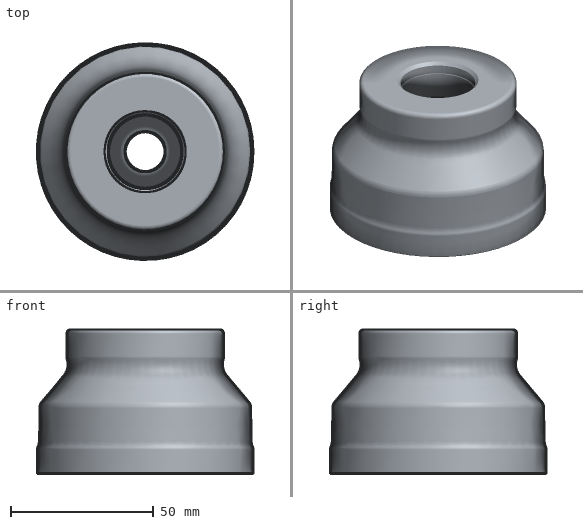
import cadquery as cq
import math

base_radius = 38.1
height = 50.8

bottom_chamfer = 0.4
foot_top = 8.45
cone_start = 25.2
cone_end = 34.45

step_lean = 24.0
draft_lean = 1.0
cone_lean = 40.0
flare_lean = -17.0

foot_round = 2.3
step_fillet = 5.0
shoulder_round = 3.2
neck_fillet = 6.3
collar_round = 3.2
rim_round = 1.6

bore_radius = 13.2
bore_chamfer = 1.1
bore_floor = 25.4
floor_fillet = 0.8
hole_radius = 6.85
hole_chamfer = 0.4
bushing_inner_radius = 12.7
bushing_top = height - 4.1
bushing_length = 9.9
bushing_flare_height = 0.8
bushing_lip_height = 0.3
bushing_lip_thickness = 0.1


def arc_step(radius, start_lean, end_lean):
    """Radial and axial travel along an arc that turns from one wall lean to another."""
    start = math.radians(start_lean)
    end = math.radians(end_lean)
    turn = math.copysign(radius, end - start)
    return turn * (math.cos(end) - math.cos(start)), turn * (math.sin(end) - math.sin(start))


def add_arc(profile, radius, start_lean, end_lean):
    """Continue the profile with an arc between two wall leans."""
    middle = arc_step(radius, start_lean, (start_lean + end_lean) / 2)
    end = arc_step(radius, start_lean, end_lean)
    start_point = profile.val().endPoint()
    start = (start_point.x, start_point.z)
    return profile.threePointArc(
        (start[0] + middle[0], start[1] + middle[1]),
        (start[0] + end[0], start[1] + end[1]),
    )


def add_wall(profile, lean, end_level):
    """Continue the profile with a straight leaning wall up to a level."""
    start = profile.val().endPoint()
    inward = (end_level - start.z) * math.tan(math.radians(lean))
    return profile.lineTo(start.x - inward, end_level)


def make_outer_form():
    """Solid of revolution with foot, drafted wall, cone, waisted neck and collar."""
    profile = (
        cq.Workplane("XZ")
        .lineTo(base_radius - bottom_chamfer, 0)
        .lineTo(base_radius, bottom_chamfer)
        .lineTo(base_radius, foot_top)
    )
    profile = add_arc(profile, foot_round, 0, step_lean)
    profile = add_arc(profile, step_fillet, step_lean, draft_lean)
    shoulder_height = arc_step(shoulder_round, draft_lean, cone_lean)[1]
    profile = add_wall(profile, draft_lean, cone_start - shoulder_height)
    profile = add_arc(profile, shoulder_round, draft_lean, cone_lean)
    profile = add_wall(profile, cone_lean, cone_end)
    profile = add_arc(profile, neck_fillet, cone_lean, flare_lean)
    profile = add_arc(profile, collar_round, flare_lean, 0)
    profile = add_wall(profile, 0, height - rim_round)
    profile = add_arc(profile, rim_round, 0, 90)
    return profile.lineTo(0, height).close().revolve(360, (0, 0), (0, 1))


def make_housing():
    """Outer form with a stepped, chamfered hole down its axis."""
    cavity = (
        cq.Workplane("XZ")
        .lineTo(hole_radius, 0)
        .lineTo(hole_radius, bore_floor - hole_chamfer)
        .lineTo(hole_radius + hole_chamfer, bore_floor)
        .lineTo(bore_radius - floor_fillet, bore_floor)
        .tangentArcPoint((floor_fillet, floor_fillet))
        .lineTo(bore_radius, height - bore_chamfer)
        .lineTo(bore_radius + bore_chamfer, height)
        .lineTo(0, height)
        .close()
        .revolve(360, (0, 0), (0, 1))
    )
    return make_outer_form().cut(cavity)


def make_bushing():
    """Thin sleeve held in the bore, its lower end flared out to a narrow lip."""
    bushing_bottom = bushing_top - bushing_length
    flare_bottom = bushing_bottom + bushing_lip_height
    lip_radius = bore_radius - bushing_lip_thickness
    return (
        cq.Workplane("XZ")
        .moveTo(bore_radius, bushing_top)
        .lineTo(bushing_inner_radius, bushing_top)
        .lineTo(bushing_inner_radius, flare_bottom + bushing_flare_height)
        .lineTo(lip_radius, flare_bottom)
        .lineTo(lip_radius, bushing_bottom)
        .lineTo(bore_radius, bushing_bottom)
        .close()
        .revolve(360, (0, 0), (0, 1))
    )


housing = make_housing()
bushing = make_bushing()

result = cq.Compound.makeCompound([housing.val(), bushing.val()])